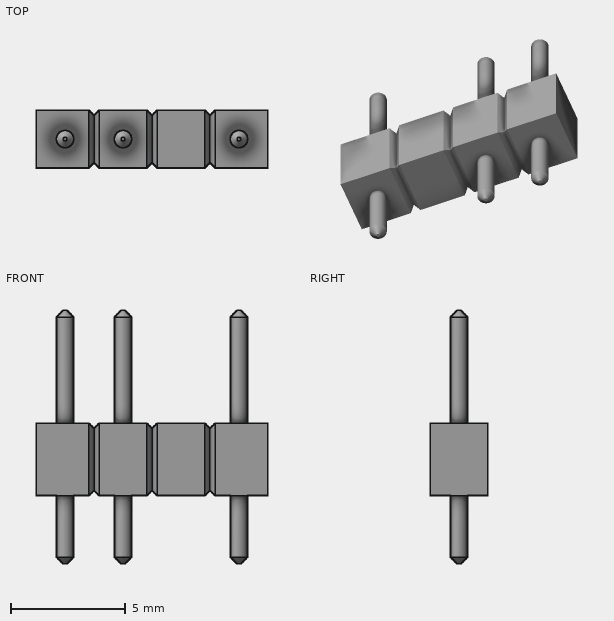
import cadquery as cq

PITCH = 2.54
POSITIONS = 4
EMPTY_POSITIONS = (2,)
HOUSING_LENGTH = POSITIONS * PITCH
HOUSING_WIDTH = PITCH
HOUSING_HEIGHT = 3.18
GROOVE_DEPTH = 0.225

PIN_DIAMETER = 0.76
PIN_LENGTH = 11.12
PIN_BELOW_HOUSING = 2.99
TIP_CHAMFER = 0.3

CELL_CENTRES = [(i + 0.5) * PITCH - HOUSING_LENGTH / 2 for i in range(POSITIONS)]
PIN_CENTRES = [(x, 0) for i, x in enumerate(CELL_CENTRES) if i not in EMPTY_POSITIONS]


def make_cell(index):
    """One cell of the housing, chamfered around each face that meets a neighbour."""
    cell = (
        cq.Workplane("XY")
        .box(PITCH, HOUSING_WIDTH, HOUSING_HEIGHT, centered=(True, True, False))
        .translate((CELL_CENTRES[index], 0, 0))
    )
    if index > 0:
        cell = cell.faces("<X").chamfer(GROOVE_DEPTH)
    if index < POSITIONS - 1:
        cell = cell.faces(">X").chamfer(GROOVE_DEPTH)
    return cell


def make_housing():
    """All cells joined into one bar, with a through hole for each pin."""
    bar = make_cell(0)
    for index in range(1, POSITIONS):
        bar = bar.union(make_cell(index))
    pin_holes = (
        cq.Workplane("XY")
        .pushPoints(PIN_CENTRES)
        .circle(PIN_DIAMETER / 2)
        .extrude(HOUSING_HEIGHT)
    )
    return bar.clean().cut(pin_holes)


def make_pin(centre):
    """A round pin standing through the housing at the given XY centre."""
    return (
        cq.Workplane("XY", origin=(*centre, -PIN_BELOW_HOUSING))
        .circle(PIN_DIAMETER / 2)
        .extrude(PIN_LENGTH)
        .faces("<Z or >Z")
        .chamfer(TIP_CHAMFER)
    )


housing = make_housing()
pins = [make_pin(centre) for centre in PIN_CENTRES]

result = cq.Compound.makeCompound([housing.val(), *[pin.val() for pin in pins]])